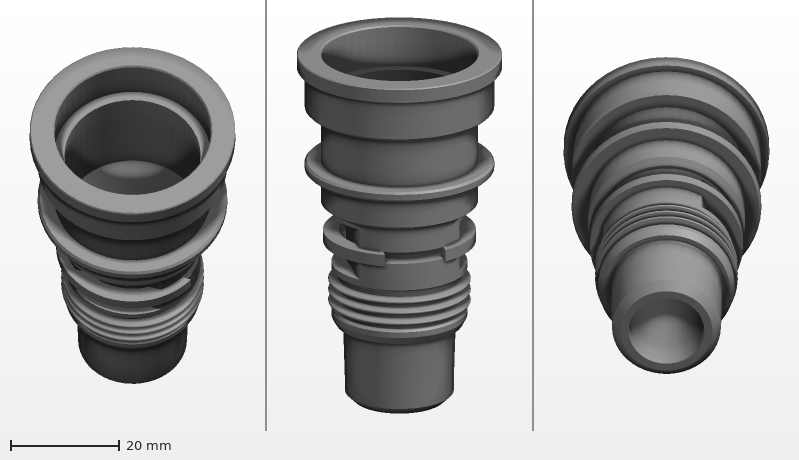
import cadquery as cq
import math

total_height = 68.0
stem_end_radius = 8.5
stem_low_radius = 10.05
stem_top_radius = 10.5
stem_chamfer_top = 1.5
neck_radius = 12.6
body_radius = 14.55
collar_radius = 17.55
flange_diameter = 38.0
flange_radius = flange_diameter / 2

lip_bottom = 14.95
lip_bottom_radius = 11.75
lip_curve_radius = 12.05
lip_curve_height = 15.4
lip_curve_top = 16.45
stem_bevel_width = 0.2
stem_bevel_height = 0.35
seal_groove_bottom = 17.9
seal_groove_top = 25.5
seal_groove_radius = 10.0
lip_chamfer = 0.35

body_taper_bottom = 38.1
body_taper_top = 38.95
body_taper_radius = 13.2
ring_bottom = 45.0
ring_top = 47.0
collar_bottom = 57.1
edge_chamfer = 0.4
flange_bottom = 65.1
flange_chamfer = 0.2

bore_radius = 7.0
chamber_radius = neck_radius
chamber_floor = 40.8
funnel_slope = 30.0
funnel_bottom = chamber_floor - (chamber_radius - bore_radius) * math.tan(math.radians(funnel_slope))
socket_radius = 14.5
socket_floor = 60.0
socket_chamfer = 0.3

flat_offset = 9.5
flat_bottom = 27.05
flat_top = 36.9

clip_bottom = 31.1
clip_top = 33.3
clip_radius = 14.15
clip_inner_radius = 11.2
clip_gap_half_width = 5.7
clip_groove_radius = 9.85

seal_radius = 11.55
seal_top = 25.1
fin_count = 3
fin_pitch = 2.1
lowest_fin_height = 19.4
fin_radius = 13.2
fin_root_thickness = 1.2
fin_tip_thickness = 0.55


def revolve_profile(profile):
    """Turn a closed (radius, height) profile, drawn on XZ, about the Z axis."""
    return profile.close().revolve(360, (0, 0, 0), (0, 1, 0))


def tube(outer_radius, inner_radius, bottom, top):
    return (
        cq.Workplane("XY")
        .workplane(offset=bottom)
        .circle(outer_radius)
        .circle(inner_radius)
        .extrude(top - bottom)
    )


def chamfered_disc(radius, bottom, top, chamfer, edges):
    return (
        cq.Workplane("XY")
        .workplane(offset=bottom)
        .circle(radius)
        .extrude(top - bottom)
        .edges(edges)
        .chamfer(chamfer)
    )


def make_outer_shape():
    core = revolve_profile(
        cq.Workplane("XZ")
        .moveTo(0, 0)
        .lineTo(stem_end_radius, 0)
        .lineTo(stem_low_radius, stem_chamfer_top)
        .lineTo(stem_top_radius, lip_bottom - stem_bevel_height)
        .lineTo(stem_top_radius + stem_bevel_width, lip_bottom)
        .lineTo(lip_bottom_radius, lip_bottom)
        .threePointArc((lip_curve_radius, lip_curve_height), (neck_radius, lip_curve_top))
        .lineTo(neck_radius, seal_groove_bottom - lip_chamfer)
        .lineTo(neck_radius - lip_chamfer, seal_groove_bottom)
        .lineTo(seal_groove_radius, seal_groove_bottom)
        .lineTo(seal_groove_radius, seal_groove_top)
        .lineTo(neck_radius - lip_chamfer, seal_groove_top)
        .lineTo(neck_radius, seal_groove_top + lip_chamfer)
        .lineTo(neck_radius, body_taper_bottom)
        .lineTo(body_taper_radius, body_taper_bottom)
        .lineTo(body_radius, body_taper_top)
        .lineTo(body_radius, total_height)
        .lineTo(0, total_height)
    )
    ring = chamfered_disc(collar_radius, ring_bottom, ring_top, edge_chamfer, "<Z or >Z")
    collar = chamfered_disc(collar_radius, collar_bottom, flange_bottom, edge_chamfer, "<Z")
    flange = chamfered_disc(flange_radius, flange_bottom, total_height, flange_chamfer, "<Z or >Z")
    return core.union(ring).union(collar).union(flange)


def make_cavity():
    return revolve_profile(
        cq.Workplane("XZ")
        .moveTo(0, 0)
        .lineTo(bore_radius, 0)
        .lineTo(bore_radius, funnel_bottom)
        .lineTo(chamber_radius, chamber_floor)
        .lineTo(chamber_radius, socket_floor)
        .lineTo(socket_radius, socket_floor)
        .lineTo(socket_radius, total_height - socket_chamfer)
        .lineTo(socket_radius + socket_chamfer, total_height)
        .lineTo(0, total_height)
    )


def make_flat_cutter(side):
    """Block that mills one flat; side is -1 or +1 along Y."""
    depth = neck_radius
    return (
        cq.Workplane("XY")
        .box(2 * neck_radius, depth, flat_top - flat_bottom, centered=(True, True, False))
        .translate((0, side * (flat_offset + depth / 2), flat_bottom))
    )


def make_housing():
    housing = make_outer_shape().cut(make_cavity())
    for side in (-1, 1):
        housing = housing.cut(make_flat_cutter(side))
    return housing.cut(tube(clip_radius, clip_groove_radius, clip_bottom, clip_top))


def make_clip():
    """C-shaped ring that opens toward +X."""
    gap = (
        cq.Workplane("XY")
        .box(clip_radius, 2 * clip_gap_half_width, clip_top - clip_bottom, centered=(False, True, False))
        .translate((0, 0, clip_bottom))
    )
    return tube(clip_radius, clip_inner_radius, clip_bottom, clip_top).cut(gap)


def make_fin(height):
    """Tapered fin with a rounded tip; its root starts at the middle of the sleeve wall."""
    root_radius = (seal_groove_radius + seal_radius) / 2
    tip_half = fin_tip_thickness / 2
    root_half = fin_root_thickness / 2
    return revolve_profile(
        cq.Workplane("XZ")
        .moveTo(root_radius, height - root_half)
        .lineTo(seal_radius, height - root_half)
        .lineTo(fin_radius - tip_half, height - tip_half)
        .threePointArc((fin_radius, height), (fin_radius - tip_half, height + tip_half))
        .lineTo(seal_radius, height + root_half)
        .lineTo(root_radius, height + root_half)
    )


def make_seal():
    seal = tube(seal_radius, seal_groove_radius, seal_groove_bottom, seal_top)
    for index in range(fin_count):
        seal = seal.union(make_fin(lowest_fin_height + index * fin_pitch))
    return seal


housing = make_housing()
clip = make_clip()
seal = make_seal()

result = cq.Compound.makeCompound([body.solids().val() for body in (housing, clip, seal)])